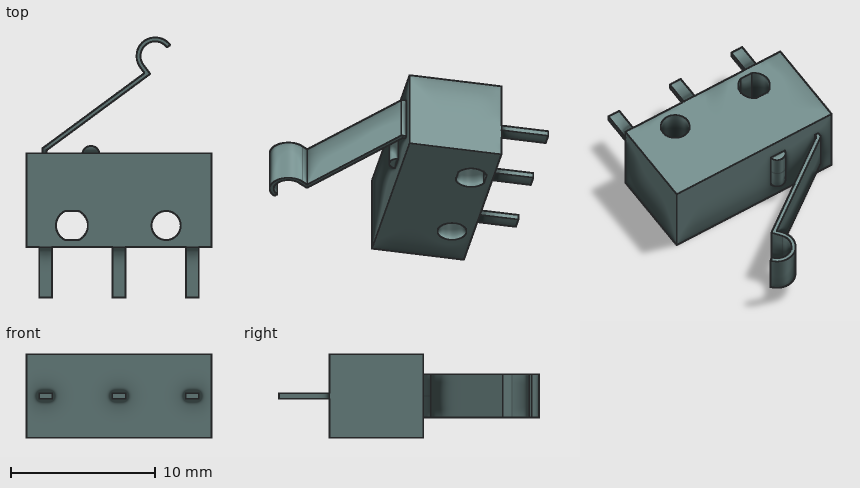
import cadquery as cq
import math

body_length = 12.8
body_depth = 6.5
body_height = 5.8
overall_depth = 18.0

pin_length = 3.5
pin_width = 0.9
pin_thickness = 0.4
pin_pitch = 5.08

hole_diameter = 2.0
wide_hole_diameter = 2.2
hole_offset_x = 3.25
hole_from_back = 1.5

plunger_x = -1.95
plunger_radius = 0.6
plunger_height = 0.5

strip_thickness = 0.29
strip_width = 3.0
lever_angle = math.radians(36.4)
foot_x = -5.15
foot_embed = 0.18
hook_x = 2.5
hook_radius = 1.3
hook_neck = 0.65

front_y = body_depth
hook_y = overall_depth - pin_length - hook_radius


def make_body():
    body = cq.Workplane("XY").box(body_length, body_depth, body_height, centered=(True, False, True))
    round_hole = (
        cq.Workplane("XY")
        .center(hole_offset_x, hole_from_back)
        .circle(hole_diameter / 2)
        .extrude(body_height, both=True)
    )
    flats = (
        cq.Workplane("XY")
        .center(-hole_offset_x, hole_from_back)
        .rect(wide_hole_diameter, hole_diameter)
        .extrude(body_height, both=True)
    )
    wide_hole = (
        cq.Workplane("XY")
        .center(-hole_offset_x, hole_from_back)
        .circle(wide_hole_diameter / 2)
        .extrude(body_height, both=True)
        .intersect(flats)
    )
    return body.cut(round_hole).cut(wide_hole)


def make_pins():
    return (
        cq.Workplane("XZ")
        .rarray(pin_pitch, 0.18, 3, 1)
        .rect(pin_width, pin_thickness)
        .extrude(pin_length)
    )


def make_plunger():
    center_y = front_y + plunger_height - plunger_radius
    return (
        cq.Workplane("XY")
        .center(plunger_x, center_y)
        .circle(plunger_radius)
        .extrude(strip_width / 2, both=True)
    )


def make_lever():
    cos_a = math.cos(lever_angle)
    sin_a = math.sin(lever_angle)
    inner_radius = hook_radius - strip_thickness
    neck_end = hook_neck + strip_thickness / 2
    neck_start = hook_neck - strip_thickness / 2

    def from_hook(along, toward_arm):
        """Point measured from the hook centre, along the arm and square to it."""
        x = hook_x + along * cos_a + toward_arm * sin_a
        y = hook_y + along * sin_a - toward_arm * cos_a
        return x, y

    def arm_y(corner, x):
        """Y of the arm face through the given corner, at position x."""
        return corner[1] + (x - corner[0]) * math.tan(lever_angle)

    def hook_middle(radius):
        """Midpoint of the half-turn hook arc of the given radius."""
        return from_hook(0, -radius)

    upper_corner = from_hook(-hook_radius, neck_start)
    lower_corner = from_hook(-inner_radius, neck_end)
    foot_left = foot_x - strip_thickness / 2
    foot_right = foot_x + strip_thickness / 2
    foot_y = front_y - foot_embed

    return (
        cq.Workplane("XY")
        .moveTo(foot_left, foot_y)
        .lineTo(foot_left, arm_y(upper_corner, foot_left))
        .lineTo(*upper_corner)
        .lineTo(*from_hook(-hook_radius, 0))
        .threePointArc(hook_middle(hook_radius), from_hook(hook_radius, 0))
        .lineTo(*from_hook(inner_radius, 0))
        .threePointArc(hook_middle(inner_radius), from_hook(-inner_radius, 0))
        .lineTo(*lower_corner)
        .lineTo(foot_right, arm_y(lower_corner, foot_right))
        .lineTo(foot_right, foot_y)
        .close()
        .extrude(strip_width / 2, both=True)
    )


result = make_body().union(make_pins()).union(make_plunger()).union(make_lever())